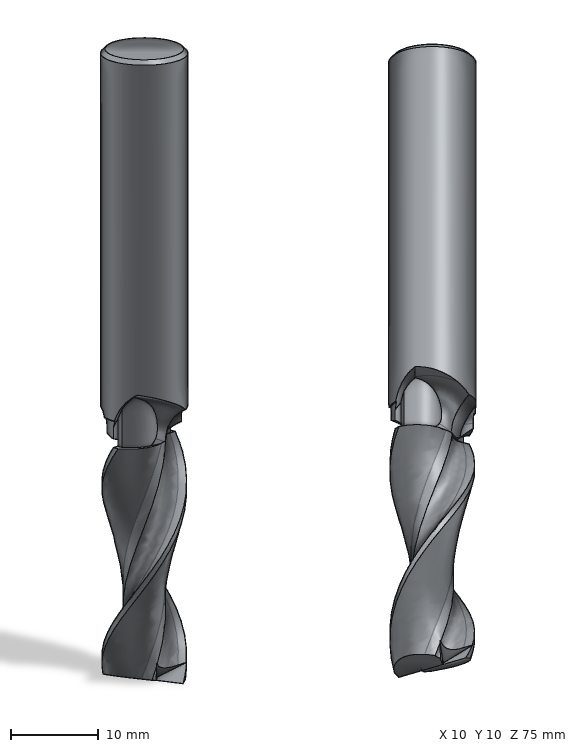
import cadquery as cq
import math


overall_length = 75.0
shank_diameter = 10.0
cutting_diameter = 9.7
cutting_length = 28.5
helix_lead = 41.5
flute_count = 2

shank_chamfer = 0.5
shank_start_height = 31.7

cutting_radius = cutting_diameter / 2
core_radius = 2.45
rake_width = 0.95
rake_drop = 0.1
land_width = 0.75
land_relief = 0.06
back_bulge_radius = 3.82
back_bulge_angle = 38.7
back_end_angle = 101.0
core_arc_end_angle = 131.0
flute_depth_radius = 2.35
flute_depth_angle = 157.0

end_relief_angle = 16.0
gash_start = 1.5
gash_wall_angle = 65.0
gash_ceiling_height = 0.4
gash_ceiling_angle = 35.0
gash_ceiling_tilt = 45.0

back_runout_angle = 90.0
back_runout_radius = 3.7
back_runout_height = 28.4
back_runout_tilt = 28.0
back_runout_high_side = -62.0
land_scoop_radius = 6.6
land_scoop_offset = 4.6
land_scoop_height = 29.5
neck_tooth_scale = 0.85
flute_runout_angle = -47.0
flute_runout_radius = 4.6
flute_runout_side_radius = 2.6
flute_runout_side_height = 30.6

clearance = 10.0

shank_radius = shank_diameter / 2
flute_pitch_angle = 360.0 / flute_count


def turn_at(height):
    """Angle in degrees by which the cross-section has turned at a height."""
    return 360.0 * height / helix_lead


def polar(radius, angle):
    return (
        radius * math.cos(math.radians(angle)),
        radius * math.sin(math.radians(angle)),
    )


def opposite(point):
    return (-point[0], -point[1])


def about_axis(shape, angle):
    return shape.rotate((0, 0, 0), (0, 0, 1), angle)


def fluted_section(base_height):
    """Wire of the two-tooth section, turned to suit its height."""
    edge = (cutting_radius, 0)
    land_end = (cutting_radius - land_relief, land_width)
    back_middle = polar(back_bulge_radius, back_bulge_angle)
    back_end = polar(core_radius, back_end_angle)
    core_middle = polar(core_radius, (back_end_angle + core_arc_end_angle) / 2)
    core_end = polar(core_radius, core_arc_end_angle)
    flute_middle = polar(flute_depth_radius, flute_depth_angle)
    rake_end = (rake_width - cutting_radius, rake_drop)

    section = cq.Workplane("XY").transformed(
        offset=(0, 0, base_height), rotate=(0, 0, turn_at(base_height))
    )
    section = section.moveTo(*edge)
    section = section.lineTo(*land_end)
    section = section.threePointArc(back_middle, back_end)
    section = section.threePointArc(core_middle, core_end)
    section = section.threePointArc(flute_middle, rake_end)
    section = section.lineTo(*opposite(edge))
    section = section.lineTo(*opposite(land_end))
    section = section.threePointArc(opposite(back_middle), opposite(back_end))
    section = section.threePointArc(opposite(core_middle), opposite(core_end))
    section = section.threePointArc(opposite(flute_middle), opposite(rake_end))
    return section.close()


def end_relief_cutter():
    """Wedge under the +Y half of the tip, deepening away from the cutting edges on X."""
    rise = clearance * math.tan(math.radians(end_relief_angle))
    return (
        cq.Workplane("YZ")
        .polyline([(0, 0), (clearance, rise), (clearance, -clearance), (0, -clearance)])
        .close()
        .extrude(clearance, both=True)
    )


def gash_cutter():
    """Notch in front of the +X tooth: vertical wall, sloping ceiling, leaning rake face."""
    wall_run = clearance / math.tan(math.radians(gash_wall_angle))
    plan = (
        cq.Workplane("XY")
        .workplane(offset=-clearance)
        .polyline(
            [
                (gash_start, clearance),
                (gash_start, 0),
                (gash_start + wall_run, -clearance),
                (gash_start + clearance, -clearance),
                (gash_start + clearance, clearance),
            ]
        )
        .close()
        .extrude(2 * clearance)
    )
    ceiling_rise = clearance * math.tan(math.radians(gash_ceiling_angle))
    under_ceiling = (
        cq.Workplane("XZ")
        .polyline(
            [
                (gash_start, -clearance),
                (gash_start + clearance, -clearance),
                (gash_start + clearance, gash_ceiling_height + ceiling_rise),
                (gash_start, gash_ceiling_height),
            ]
        )
        .close()
        .extrude(clearance, both=True)
        .rotate((0, 0, 0), (1, 0, 0), -gash_ceiling_tilt)
    )
    helix_slope = 2 * math.pi * cutting_radius / helix_lead
    ahead_of_rake = (
        cq.Workplane("YZ")
        .polyline(
            [
                (0, 0),
                (clearance * helix_slope, clearance),
                (-clearance, clearance),
                (-clearance, -clearance),
                (0, -clearance),
            ]
        )
        .close()
        .extrude(2 * clearance)
    )
    return plan.intersect(under_ceiling).intersect(ahead_of_rake)


def make_cutting_end():
    """Twisted two-tooth bar with a gash and a relief ground at the tip of each tooth."""
    bar = fluted_section(0).twistExtrude(cutting_length, turn_at(cutting_length))
    for flute in range(flute_count):
        for cutter in (gash_cutter(), end_relief_cutter()):
            bar = bar.cut(about_axis(cutter, flute * flute_pitch_angle))
    return bar


def round_topped_slot(radius):
    """Slot along Y, centred on the origin, with a round top and open downwards."""
    round_top = cq.Workplane("XZ").circle(radius).extrude(clearance, both=True)
    return (
        cq.Workplane("XZ")
        .rect(2 * radius, clearance)
        .extrude(clearance, both=True)
        .translate((0, 0, -clearance / 2))
        .union(round_top)
    )


def back_runout_cutter():
    """Half of a tilted ring on the +X side, whose concave top flares from core to shank."""
    arc_middle = back_runout_radius / math.sqrt(2)
    outer_radius = core_radius + back_runout_radius
    ring = (
        cq.Workplane("XZ")
        .moveTo(core_radius, -clearance)
        .lineTo(core_radius, 0)
        .threePointArc((outer_radius - arc_middle, arc_middle), (outer_radius, back_runout_radius))
        .lineTo(2 * clearance, back_runout_radius)
        .lineTo(2 * clearance, -clearance)
        .close()
        .revolve(360, (0, 0, 0), (0, 1, 0))
    )
    half_space = cq.Workplane("XY").box(
        2 * clearance, 4 * clearance, 4 * clearance, centered=(False, True, True)
    )
    land_scoop = (
        round_topped_slot(land_scoop_radius)
        .translate((land_scoop_offset, 0, land_scoop_height))
        .rotate((0, 0, 0), (0, 0, 1), -turn_at(cutting_length) - back_runout_angle)
    )
    return (
        ring.rotate((0, 0, 0), (0, 1, 0), -back_runout_tilt)
        .rotate((0, 0, 0), (0, 0, 1), back_runout_high_side)
        .intersect(half_space)
        .translate((0, 0, back_runout_height))
        .intersect(land_scoop)
    )


def flute_runout_cutter():
    """Level slot across the +X side, rounded off at both sides by a slot along X."""
    sides = (
        round_topped_slot(flute_runout_side_radius)
        .rotate((0, 0, 0), (0, 0, 1), 90)
        .translate((0, 0, flute_runout_side_height))
    )
    return (
        round_topped_slot(flute_runout_radius)
        .translate((core_radius + flute_runout_radius, 0, cutting_length))
        .intersect(sides)
    )


def make_shank():
    """Chamfered shank on a slightly thinner neck, with two run-outs ground for each flute."""
    neck = (
        cq.Workplane("XY")
        .workplane(offset=cutting_length)
        .circle(cutting_radius)
        .extrude(shank_start_height - cutting_length)
    )
    shank = (
        cq.Workplane("XY")
        .workplane(offset=shank_start_height)
        .circle(shank_radius)
        .extrude(overall_length - shank_start_height)
        .faces(">Z")
        .chamfer(shank_chamfer)
        .union(neck)
    )
    slender_teeth = fluted_section(cutting_length).extrude(clearance).val().scale(neck_tooth_scale)
    teeth = cq.Workplane(slender_teeth).translate((0, 0, cutting_length * (1 - neck_tooth_scale)))
    runouts = [
        (back_runout_cutter(), back_runout_angle),
        (flute_runout_cutter(), flute_runout_angle),
    ]
    for cutter, angle_from_edge in runouts:
        angle = turn_at(cutting_length) + angle_from_edge
        clear_of_teeth = about_axis(cutter, angle).cut(teeth)
        for flute in range(flute_count):
            shank = shank.cut(about_axis(clear_of_teeth, flute * flute_pitch_angle))
    return shank


cutting_end = make_cutting_end()
shank = make_shank()

result = cq.Compound.makeCompound([*cutting_end.solids().vals(), *shank.solids().vals()])